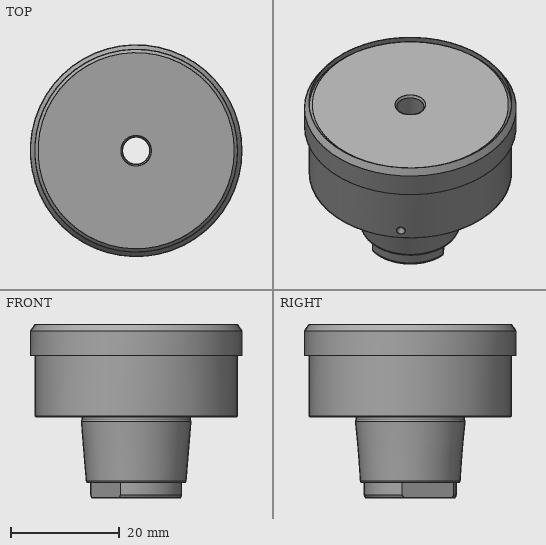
import cadquery as cq
import math

TOTAL_HEIGHT = 31.95
TAIL_HEIGHT = 2.8
TAPER_BOTTOM = TAIL_HEIGHT
TAPER_TOP = 14.05
NECK_BOTTOM = 14.48
HEAD_BOTTOM = 14.95
COLLAR_BOTTOM = 26.22
HEAD_RECESS = 0.5
HEAD_TOP = TOTAL_HEIGHT - HEAD_RECESS

COLLAR_RADIUS = 19.5
HEAD_RADIUS = 18.65
TAPER_TOP_RADIUS = 10.1
TAPER_BOTTOM_RADIUS = 9.2
NECK_RADIUS = 10.0
TAIL_RADIUS = 8.5
BORE_RADIUS = 2.5

COLLAR_CHAMFER_WIDTH = 0.8
COLLAR_CHAMFER_HEIGHT = 1.25
HEAD_TOP_CHAMFER = 0.6
HEAD_BOTTOM_CHAMFER = 0.15
TAPER_CHAMFER_WIDTH = 0.15
TAPER_CHAMFER_HEIGHT = 0.35
TAIL_CHAMFER_WIDTH = 0.27
TAIL_CHAMFER_HEIGHT = 0.5
BORE_CHAMFER_WIDTH = 0.3
BORE_CHAMFER_HEIGHT = 0.45

FLAT_DISTANCE = 6.5
FLAT_ANGLE = 30.0

DIMPLE_RADIUS = 0.8
DIMPLE_DEPTH = 0.78
DIMPLE_ANGLE = FLAT_ANGLE + 90.0
DIMPLE_HEIGHT = 16.8


def revolved(profile):
    """Turn a closed (radius, height) profile about the Z axis."""
    return cq.Workplane("XZ").polyline(profile).close().revolve(360, (0, 0), (0, 1))


def make_tail():
    """Round stub below the taper, chamfered at the bottom and cut by two parallel flats."""
    round_stub = revolved([
        (0, 0),
        (TAIL_RADIUS - TAIL_CHAMFER_WIDTH, 0),
        (TAIL_RADIUS, TAIL_CHAMFER_HEIGHT),
        (TAIL_RADIUS, TAIL_HEIGHT),
        (0, TAIL_HEIGHT),
    ])
    across_flats = (
        cq.Workplane("XY")
        .rect(2 * FLAT_DISTANCE, 2 * TAIL_RADIUS)
        .extrude(TAIL_HEIGHT)
        .rotate((0, 0, 0), (0, 0, 1), FLAT_ANGLE)
    )
    return round_stub.intersect(across_flats)


def make_dimple():
    """Cone that cuts the dimple, pointing at the axis."""
    angle = math.radians(DIMPLE_ANGLE)
    outward = cq.Vector(math.cos(angle), math.sin(angle), 0)
    start = outward * HEAD_RADIUS + cq.Vector(0, 0, DIMPLE_HEIGHT)
    return cq.Solid.makeCone(DIMPLE_RADIUS, 0, DIMPLE_DEPTH, start, outward * -1)


def make_bore():
    """Through bore with a chamfered mouth at the head."""
    return revolved([
        (0, 0),
        (BORE_RADIUS, 0),
        (BORE_RADIUS, HEAD_TOP - BORE_CHAMFER_HEIGHT),
        (BORE_RADIUS + BORE_CHAMFER_WIDTH, HEAD_TOP),
        (0, HEAD_TOP),
    ])


def make_plug():
    """Tapered shank carrying a wide cylindrical head."""
    shank_and_head = revolved([
        (0, TAPER_BOTTOM),
        (TAPER_BOTTOM_RADIUS - TAPER_CHAMFER_WIDTH, TAPER_BOTTOM),
        (TAPER_BOTTOM_RADIUS, TAPER_BOTTOM + TAPER_CHAMFER_HEIGHT),
        (TAPER_TOP_RADIUS, TAPER_TOP),
        (NECK_RADIUS, NECK_BOTTOM),
        (NECK_RADIUS, HEAD_BOTTOM),
        (HEAD_RADIUS - HEAD_BOTTOM_CHAMFER, HEAD_BOTTOM),
        (HEAD_RADIUS, HEAD_BOTTOM + HEAD_BOTTOM_CHAMFER),
        (HEAD_RADIUS, HEAD_TOP - HEAD_TOP_CHAMFER),
        (HEAD_RADIUS - HEAD_TOP_CHAMFER, HEAD_TOP),
        (0, HEAD_TOP),
    ])
    return shank_and_head.union(make_tail()).cut(make_dimple()).cut(make_bore())


def make_collar():
    """Thin ring around the top of the head, standing slightly above it."""
    return revolved([
        (HEAD_RADIUS, COLLAR_BOTTOM),
        (COLLAR_RADIUS, COLLAR_BOTTOM),
        (COLLAR_RADIUS, TOTAL_HEIGHT - COLLAR_CHAMFER_HEIGHT),
        (COLLAR_RADIUS - COLLAR_CHAMFER_WIDTH, TOTAL_HEIGHT),
        (HEAD_RADIUS, TOTAL_HEIGHT),
    ])


plug = make_plug()
collar = make_collar()
result = cq.Compound.makeCompound([plug.val(), collar.val()])